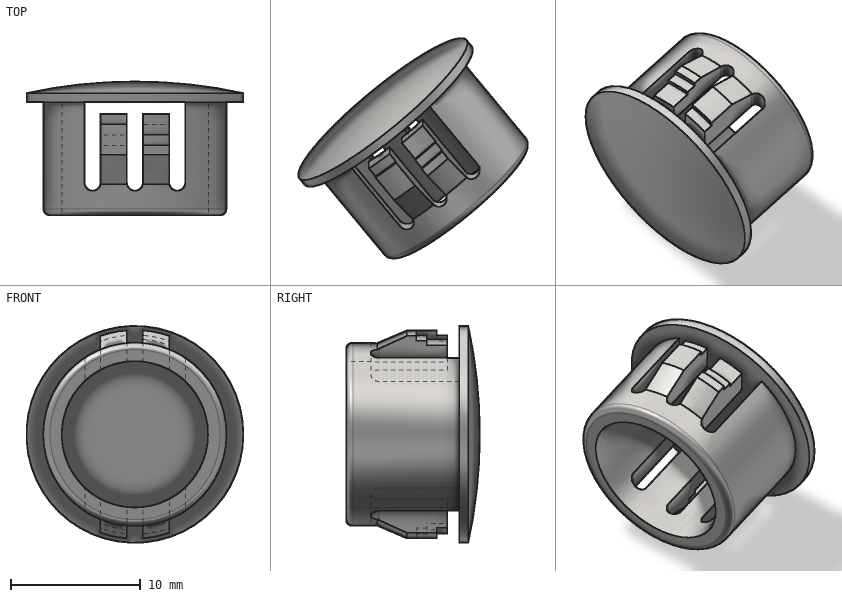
import cadquery as cq


cap_radius = 8.35
rim_thickness = 0.7
dome_height = 0.9

barrel_radius = 7.05
bore_radius = 5.63
barrel_length = 8.7
lip_fillet = 0.5

slot_width = 1.22
slot_pitch = 3.25
slot_length = 6.8
finger_gap = 0.9
window_width = 2 * slot_pitch + slot_width

finger_radius = 8.02
middle_step_radius = 7.67
low_step_radius = 7.35
step_length = 0.8
ramp_start = 4.02
ramp_end = 6.3
finger_width = slot_pitch - slot_width


def revolve_about_axis(profile):
    """Revolve a closed (radius, Y) profile about the Y axis."""
    return profile.close().revolve(360, (0, 0, 0), (0, 1, 0))


def make_cap():
    sphere_radius = (cap_radius**2 + dome_height**2) / (2 * dome_height)
    apex = rim_thickness + dome_height
    mid_radius = cap_radius / 2
    mid_height = apex - sphere_radius + (sphere_radius**2 - mid_radius**2) ** 0.5
    profile = (
        cq.Workplane("XY")
        .lineTo(cap_radius, 0)
        .lineTo(cap_radius, rim_thickness)
        .threePointArc((mid_radius, mid_height), (0, apex))
    )
    return revolve_about_axis(profile)


def make_barrel():
    barrel = cq.Workplane("XZ").circle(barrel_radius).extrude(barrel_length)
    barrel = barrel.faces("<Y").edges().fillet(lip_fillet)
    bore = cq.Workplane("XZ").circle(bore_radius).extrude(barrel_length)
    return barrel.cut(bore)


def make_finger_ring(tip_steps):
    """Ring with a finger's cross-section; tip_steps lists (radius, end distance) from the tip."""
    profile = cq.Workplane("XY").moveTo(bore_radius, -finger_gap)
    for radius, end in tip_steps:
        profile = profile.hLineTo(radius).vLineTo(-end)
    profile = (
        profile.hLineTo(finger_radius)
        .vLineTo(-ramp_start)
        .lineTo(barrel_radius, -ramp_end)
        .hLineTo(bore_radius)
    )
    return revolve_about_axis(profile)


def make_finger(side, tip_steps):
    """Upper finger on the given X side, trimmed to flat flanks."""
    flanks = (
        cq.Workplane("XY")
        .box(finger_width, barrel_length, cap_radius, centered=(True, False, False))
        .translate((side * slot_pitch / 2, -barrel_length, 0))
    )
    return make_finger_ring(tip_steps).intersect(flanks)


def make_slots():
    """Round-ended slots and the window beyond the finger tips, through both walls."""
    cutter = (
        cq.Workplane("XY")
        .box(window_width, finger_gap, 2 * cap_radius)
        .translate((0, -finger_gap / 2, 0))
    )
    straight_length = slot_length - slot_width / 2
    for x in (-slot_pitch, 0, slot_pitch):
        slot = (
            cq.Workplane("XY")
            .workplane(offset=-cap_radius)
            .moveTo(x - slot_width / 2, 0)
            .vLine(-straight_length)
            .threePointArc((x, -slot_length), (x + slot_width / 2, -straight_length))
            .vLineTo(0)
            .close()
            .extrude(2 * cap_radius)
        )
        cutter = cutter.union(slot)
    return cutter


first_step_end = finger_gap + step_length
second_step_end = first_step_end + step_length
third_step_end = second_step_end + step_length
single_step = [(middle_step_radius, first_step_end)]
double_step = [(low_step_radius, second_step_end), (middle_step_radius, third_step_end)]

upper_fingers = make_finger(-1, single_step).union(make_finger(1, double_step))
lower_fingers = upper_fingers.rotate((0, 0, 0), (0, 1, 0), 180)

slotted_barrel = make_barrel().cut(make_slots())
result = slotted_barrel.union(upper_fingers).union(lower_fingers).union(make_cap())